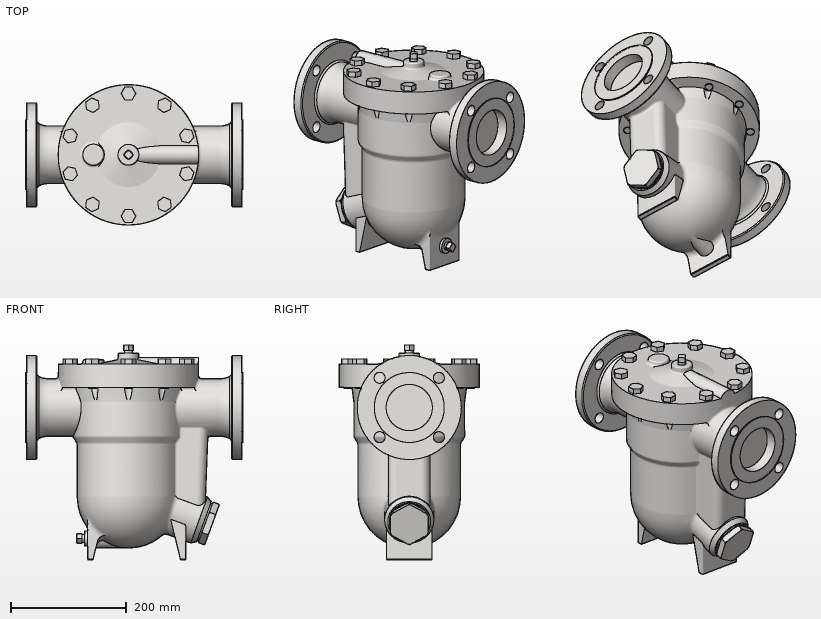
import cadquery as cq
import math


face_to_face = 376.0
body_x = -10.0

flange_diameter = 180.0
flange_thickness = 18.0
flange_chamfer = 2.0
raised_face_diameter = 121.0
raised_face_height = 2.0
pipe_diameter = 100.0
neck_diameter = 108.0
neck_root_fillet = 3.0
neck_length = 16.0
bore_diameter = 80.0
bore_depth = 20.0
bolt_hole_diameter = 19.0
bolt_hole_circle = 145.0
bolt_hole_count = 4

cover_diameter = 243.0
cover_top_z = 75.0
joint_z = 55.0
body_flange_bottom_z = 35.0
flare_radius = 99.5
flare_bottom_z = 10.0
upper_radius = 96.0
lower_radius = 89.0
step_top_z = -51.0
step_bottom_z = -62.0
step_fillet = 6.0
dome_center_z = -154.0

cover_bolt_count = 10
cover_bolt_circle = 212.0
bolt_head_flats = 22.0
bolt_head_height = 9.0
bolt_end_diameter = 14.0
bolt_end_height = 2.0
spot_cut_diameter = 19.6

cap_base_radius = 56.0
cap_height = 8.0
plug_seat_top_z = 94.0
plug_seat_diameter = 36.0
plug_seat_edge_fillet = 2.0
plug_seat_root_fillet = 3.0
top_plug_end_z = 108.3
plug_square = 12.0
plug_square_length = 9.5
plug_tip_diameter = 11.84
plug_tip_angle = 15.0
plug_neck_diameter = 14.0
handle_radius = 16.4
handle_top_z = 86.6
small_boss_offset = 60.5
small_boss_diameter = 36.8
small_boss_height = 8.0
small_boss_edge_fillet = 3.0
small_boss_root_fillet = 4.8

downcomer_half_width = 36.0
downcomer_top_x = 129.4
downcomer_bottom_x = 122.2
downcomer_corner_radius = 15.0
downcomer_bottom_z = -185.0

cleanout_angle = 20.0
cleanout_axis_z = -150.0
cleanout_radius = 42.5
cleanout_barrel_length = 130.0
cleanout_end_radius = 37.0
cleanout_length = 139.0
cleanout_gasket_radius = 34.5
cleanout_gasket_thickness = 3.0
cleanout_hex_corners = 75.0
cleanout_hex_thickness = 12.0
cleanout_hex_chamfer = 1.5
cleanout_fillet = 9.0

flange_pipe_fillet = 4.0
outlet_fillet = 4.3
left_foot_fillet = 10.0

foot_bottom_z = -263.3
foot_width = 79.0
foot_edge_fillet = 2.0
foot_base_thickness = 9.5
left_foot_x = -80.7
right_foot_x = 89.3
foot_top_z = -185.0
foot_inner_slope = 0.24

drain_z = -226.5
drain_boss_radius = 16.3
drain_washer_diameter = 26.68
drain_washer_thickness = 5.0
drain_end_x = -99.7

cover_radius = cover_diameter / 2
pipe_radius = pipe_diameter / 2
half_length = face_to_face / 2


def cylinder(origin, direction, radius, length):
    return cq.Workplane(cq.Solid.makeCylinder(radius, length, cq.Vector(*origin), cq.Vector(*direction)))


def blend(shape, radius, low, high, whole_edges=True):
    """Round the edges inside the box low-high; whole_edges=False picks them by their centers."""
    margin = (0.5, 0.5, 0.5)
    low = cq.Vector(*low) - cq.Vector(*margin)
    high = cq.Vector(*high) + cq.Vector(*margin)
    box = cq.selectors.BoxSelector(low.toTuple(), high.toTuple(), boundingbox=whole_edges)
    return shape.edges(box).fillet(radius)


def body():
    """Turned body: bolting flange, flare, two barrels joined by a step, dome."""
    profile = (
        cq.Workplane("XZ")
        .moveTo(0, joint_z)
        .lineTo(cover_radius, joint_z)
        .lineTo(cover_radius, body_flange_bottom_z)
        .lineTo(flare_radius, body_flange_bottom_z)
        .lineTo(upper_radius, flare_bottom_z)
        .lineTo(upper_radius, step_top_z)
        .lineTo(lower_radius, step_bottom_z)
        .lineTo(lower_radius, dome_center_z)
        .radiusArc((0, dome_center_z - lower_radius), lower_radius)
        .close()
    )
    turned = profile.revolve(360, (0, 0, 0), (0, 1, 0))
    turned = blend(
        turned, step_fillet,
        (-upper_radius, -upper_radius, step_bottom_z), (upper_radius, upper_radius, step_top_z),
    )
    return turned.translate((body_x, 0, 0))


def pipe(side):
    """Solid pipe stub with neck, flange and raised face; side is -1 (inlet) or 1 (outlet)."""
    flange_face = half_length - raised_face_height
    flange_back = flange_face - flange_thickness
    neck_end = flange_back - neck_root_fillet
    neck_radius = neck_diameter / 2
    flange_radius = flange_diameter / 2
    raised_radius = raised_face_diameter / 2
    profile = (
        cq.Workplane("XY")
        .moveTo(0, 0)
        .lineTo(0, pipe_radius)
        .lineTo(neck_end - neck_length, pipe_radius)
        .tangentArcPoint((neck_end, neck_radius), relative=False)
        .lineTo(flange_back, neck_radius + neck_root_fillet)
        .lineTo(flange_back, flange_radius - flange_chamfer)
        .lineTo(flange_back + flange_chamfer, flange_radius)
        .lineTo(flange_face, flange_radius)
        .lineTo(flange_face, raised_radius)
        .lineTo(half_length, raised_radius)
        .lineTo(half_length, 0)
        .close()
    )
    stub = profile.revolve(360, (0, 0, 0), (1, 0, 0))
    return stub if side > 0 else stub.mirror("YZ")


def pipe_openings():
    """Blind bores and the flange bolt holes of both pipe connections."""
    drill_length = flange_thickness + raised_face_height
    cutters = cq.Workplane()
    for side in (-1, 1):
        inward = (-side, 0, 0)
        cutters = cutters.add(cylinder((side * half_length, 0, 0), inward, bore_diameter / 2, bore_depth))
        for index in range(bolt_hole_count):
            angle = math.radians(45 + index * 360 / bolt_hole_count)
            y = bolt_hole_circle / 2 * math.cos(angle)
            z = bolt_hole_circle / 2 * math.sin(angle)
            cutters = cutters.add(
                cylinder((side * half_length, y, z), inward, bolt_hole_diameter / 2, drill_length)
            )
    return cutters.combine()


def downcomer():
    """Vertical passage on the outlet side with rounded outer corners and a drafted outer face."""
    block = (
        cq.Workplane("XZ")
        .polyline([
            (body_x, 0),
            (downcomer_top_x, 0),
            (downcomer_bottom_x, downcomer_bottom_z),
            (body_x, downcomer_bottom_z),
        ])
        .close()
        .extrude(downcomer_half_width, both=True)
    )
    return block.faces(">X").edges("not |Y").fillet(downcomer_corner_radius)


def cleanout_plane(distance):
    """Plane across the clean-out axis, at a distance from the body axis."""
    angle = math.radians(cleanout_angle)
    direction = cq.Vector(math.cos(angle), 0, -math.sin(angle))
    start = cq.Vector(body_x, 0, cleanout_axis_z)
    return cq.Plane(start + direction * distance, (0, 1, 0), direction)


def cleanout_boss():
    """Inclined barrel tapering to its end face."""
    barrel = cq.Workplane(cleanout_plane(0)).circle(cleanout_radius).extrude(cleanout_barrel_length)
    taper = (
        cq.Workplane(cleanout_plane(cleanout_barrel_length))
        .circle(cleanout_radius)
        .workplane(offset=cleanout_length - cleanout_barrel_length)
        .circle(cleanout_end_radius)
        .loft()
    )
    return barrel.union(taper)


def cleanout_plug():
    """Gasket and hexagon head on the end of the inclined boss."""
    head_start = cleanout_length + cleanout_gasket_thickness
    gasket = (
        cq.Workplane(cleanout_plane(cleanout_length))
        .circle(cleanout_gasket_radius)
        .extrude(cleanout_gasket_thickness)
    )
    hexagon = (
        cq.Workplane(cleanout_plane(head_start))
        .transformed(rotate=(0, 0, 90))
        .polygon(6, cleanout_hex_corners)
        .extrude(cleanout_hex_thickness)
    )
    rounding = (
        cq.Workplane(cleanout_plane(head_start))
        .circle(cleanout_hex_corners / 2)
        .extrude(cleanout_hex_thickness)
        .edges()
        .chamfer(cleanout_hex_chamfer)
    )
    return gasket.union(hexagon.intersect(rounding))


def foot(outer_x, inward):
    """Wedge-shaped foot with a vertical outer face; inward is the X direction of its sloping face."""
    height = foot_top_z - foot_bottom_z
    base_inner_x = outer_x + inward * foot_base_thickness
    top_inner_x = base_inner_x + inward * height * foot_inner_slope
    wedge = (
        cq.Workplane("XZ")
        .polyline([
            (outer_x, foot_bottom_z),
            (base_inner_x, foot_bottom_z),
            (top_inner_x, foot_top_z),
            (outer_x, foot_top_z),
        ])
        .close()
        .extrude(foot_width / 2, both=True)
    )
    outer_face = "<X" if inward > 0 else ">X"
    wedge = wedge.faces(outer_face).edges("|Z").fillet(foot_edge_fillet)
    return wedge.faces("<Z").edges().chamfer(foot_edge_fillet / 2)


def square_plug(seat, stub_length):
    """Square-headed plug standing on a seat plane, on edge with its corners toward the plane's axes."""
    neck = cq.Workplane(seat).circle(plug_neck_diameter / 2).extrude(stub_length)
    head = (
        cq.Workplane(seat)
        .workplane(offset=stub_length)
        .transformed(rotate=(0, 0, 45))
        .rect(plug_square, plug_square)
        .extrude(plug_square_length)
    )
    tip_radius = plug_tip_diameter / 2
    cone_base_radius = tip_radius + plug_square_length / math.tan(math.radians(plug_tip_angle))
    cone_start = seat.origin + seat.zDir * stub_length
    tip = cq.Solid.makeCone(cone_base_radius, tip_radius, plug_square_length, cone_start, seat.zDir)
    return neck.union(head.intersect(cq.Workplane(tip)))


def drain():
    """Horizontal drain boss under the dome with washer and square plug."""
    washer_start_x = left_foot_x
    boss = cylinder((left_foot_x, 0, drain_z), (1, 0, 0), drain_boss_radius, body_x - left_foot_x)
    washer_end_x = washer_start_x - drain_washer_thickness
    washer = cylinder(
        (washer_start_x, 0, drain_z), (-1, 0, 0), drain_washer_diameter / 2, drain_washer_thickness
    )
    stub_length = washer_end_x - drain_end_x - plug_square_length
    seat = cq.Plane((washer_end_x, 0, drain_z), (0, 1, 0), (-1, 0, 0))
    return boss.union(washer).union(square_plug(seat, stub_length))


def cover():
    """Cover disc with conical cap, plug seat and plug, radial passage and small boss."""
    cap_top_z = cover_top_z + cap_height
    seat_radius = plug_seat_diameter / 2
    small_boss_radius = small_boss_diameter / 2
    disc = (
        cq.Workplane("XY", origin=(0, 0, joint_z))
        .circle(cover_radius)
        .extrude(cover_top_z - joint_z)
        .faces(">Z")
        .workplane()
        .center(-small_boss_offset, 0)
        .circle(small_boss_radius)
        .extrude(small_boss_height)
        .faces(">Z")
        .edges()
        .fillet(small_boss_edge_fillet)
    )
    disc = blend(
        disc,
        small_boss_root_fillet,
        (-small_boss_offset - small_boss_radius, -small_boss_radius, cover_top_z),
        (-small_boss_offset + small_boss_radius, small_boss_radius, cover_top_z),
    )
    cap = (
        cq.Workplane("XZ")
        .polyline([
            (0, joint_z),
            (cap_base_radius, joint_z),
            (cap_base_radius, cover_top_z),
            (seat_radius, cap_top_z),
            (seat_radius, plug_seat_top_z),
            (0, plug_seat_top_z),
        ])
        .close()
        .revolve(360, (0, 0, 0), (0, 1, 0))
        .faces(">Z")
        .edges()
        .fillet(plug_seat_edge_fillet)
    )
    cap = blend(
        cap, plug_seat_root_fillet,
        (-seat_radius, -seat_radius, cap_top_z), (seat_radius, seat_radius, cap_top_z),
    )
    handle = cylinder((0, 0, handle_top_z - handle_radius), (1, 0, 0), handle_radius, cover_radius)
    handle = handle.intersect(cylinder((0, 0, joint_z), (0, 0, 1), cover_radius, cover_radius))
    seat = cq.Plane((0, 0, plug_seat_top_z), (1, 0, 0), (0, 0, 1))
    stub_length = top_plug_end_z - plug_seat_top_z - plug_square_length
    plug = square_plug(seat, stub_length)
    return cap.union(handle).union(disc).union(plug).translate((body_x, 0, 0))


def cover_bolt_angles():
    return [90 + index * 360 / cover_bolt_count for index in range(cover_bolt_count)]


def cover_bolts():
    """Hexagon heads on the cover and bolt ends just below the body flange."""
    bolt_radius = cover_bolt_circle / 2
    corners = bolt_head_flats / math.cos(math.radians(30))
    head = (
        cq.Workplane("XY", origin=(bolt_radius, 0, cover_top_z))
        .transformed(rotate=(0, 0, 90))
        .polygon(6, corners)
        .extrude(bolt_head_height)
    )
    end_z = body_flange_bottom_z - bolt_end_height
    end = cylinder((bolt_radius, 0, end_z), (0, 0, 1), bolt_end_diameter / 2, joint_z - end_z)
    bolts = cq.Workplane()
    for angle in cover_bolt_angles():
        for piece in (head, end):
            turned = piece.rotate((0, 0, 0), (0, 0, 1), angle)
            bolts = bolts.add(turned.translate((body_x, 0, 0)))
    return bolts.combine()


def spot_cuts():
    """Clearance scallops for the bolt ends in the flare, except where the pipes cover it."""
    bolt_radius = cover_bolt_circle / 2
    cuts = cq.Workplane()
    for angle in cover_bolt_angles():
        if bolt_radius * abs(math.sin(math.radians(angle))) < pipe_radius:
            continue
        x = body_x + bolt_radius * math.cos(math.radians(angle))
        y = bolt_radius * math.sin(math.radians(angle))
        height = body_flange_bottom_z - flare_bottom_z
        cuts = cuts.add(cylinder((x, y, flare_bottom_z), (0, 0, 1), spot_cut_diameter / 2, height))
    return cuts.combine()


def outlet_side():
    """Body with downcomer and outlet pipe, all blended together."""
    joined = body().union(downcomer()).union(pipe(1))
    inner_x = body_x + math.sqrt(lower_radius ** 2 - pipe_radius ** 2)
    return blend(
        joined,
        outlet_fillet,
        (inner_x - 10, -pipe_radius, downcomer_bottom_z + 5),
        (downcomer_top_x, pipe_radius, body_flange_bottom_z + 15),
        whole_edges=False,
    )


def inlet_side():
    """Body with inlet pipe, blended where the pipe meets the bolting flange."""
    return blend(
        body().union(pipe(-1)),
        flange_pipe_fillet,
        (body_x - cover_radius, -pipe_radius, body_flange_bottom_z),
        (body_x - upper_radius, pipe_radius, pipe_radius),
        whole_edges=False,
    )


def cleanout_side():
    """Body with the inclined boss, blended into the dome."""
    return blend(
        body().union(cleanout_boss()),
        cleanout_fillet,
        (body_x + lower_radius / 2, -lower_radius, dome_center_z - lower_radius),
        (body_x + lower_radius - 2, lower_radius, dome_center_z + lower_radius / 2),
        whole_edges=False,
    )


def drain_side():
    """Body with the left foot, blended into the dome."""
    foot_root_x = body_x - lower_radius / 2
    return blend(
        body().union(foot(left_foot_x, 1)),
        left_foot_fillet,
        (left_foot_x, -foot_width / 2, dome_center_z - lower_radius + 20),
        (foot_root_x, foot_width / 2, foot_top_z),
        whole_edges=False,
    )


casting = outlet_side().union(inlet_side()).union(cleanout_side()).union(drain_side())
casting = casting.union(foot(right_foot_x, -1)).union(drain())
casting = casting.cut(spot_cuts()).cut(pipe_openings())
lid = cover().union(cover_bolts())
result = casting.union(cleanout_plug()).union(lid, clean=False)